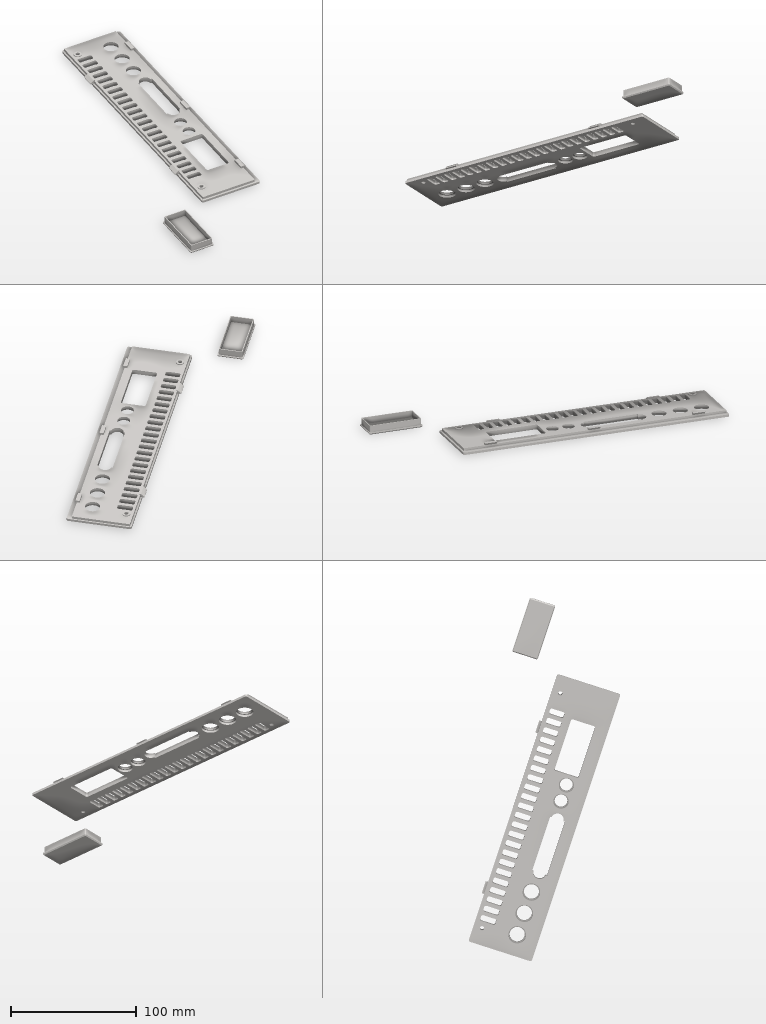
import cadquery as cq

FLANGE_LENGTH = 227.5
FLANGE_WIDTH = 53.0
FLANGE_THICKNESS = 2.0
FLANGE_CORNER_RADIUS = 1.5
FACEPLATE_BOTTOM = 1.5
PLATE_THICKNESS = 2.1
PLATE_LEFT_MARGIN = 1.0
PLATE_RIGHT_MARGIN = 1.7
PLATE_FRONT_MARGIN = 1.5
PLATE_BACK_MARGIN = 4.2

FLANGE_TOP = FACEPLATE_BOTTOM + FLANGE_THICKNESS
PLATE_TOP = FLANGE_TOP + PLATE_THICKNESS
PLATE_LENGTH = FLANGE_LENGTH - PLATE_LEFT_MARGIN - PLATE_RIGHT_MARGIN
PLATE_BACK = FLANGE_WIDTH - PLATE_BACK_MARGIN
PLATE_WIDTH = PLATE_BACK - PLATE_FRONT_MARGIN

LARGE_HOLE_DIAMETER = 12.0
LARGE_HOLE_Y = 35.3
LARGE_HOLE_FIRST_X = 17.0
LARGE_HOLE_PITCH = 18.2
LARGE_HOLE_COUNT = 3
SMALL_HOLE_DIAMETER = 10.0
SMALL_HOLE_Y = 34.7
SMALL_HOLE_XS = (130.7, 144.5)
COUNTERBORE_MARGIN = 0.98

CONNECTOR_CENTER = (93.0, 36.7)
CONNECTOR_LENGTH = 46.2
CONNECTOR_WIDTH = 12.5
CONNECTOR_EAR_DIAMETER = 10.0
CONNECTOR_EAR_SPACING = 45.3

WINDOW_CENTER = (174.5, 32.0)
WINDOW_LENGTH = 44.0
WINDOW_WIDTH = 20.1
WINDOW_CORNER_RADIUS = 1.5

VENT_COUNT = 23
SHORT_VENT_COUNT = 7
VENT_FIRST_X = 21.3
VENT_LAST_X = 197.3
VENT_FRONT = 3.4
VENT_WIDTH = 5.0
VENT_LENGTH = 12.5
SHORT_VENT_LENGTH = 12.0
VENT_CORNER_RADIUS = 1.5
VENT_PITCH = (VENT_LAST_X - VENT_FIRST_X) / (VENT_COUNT - 1)

BOSS_DIAMETER = 6.5
BOSS_HOLE_DIAMETER = 3.4
BOSS_HEIGHT = 0.8
BOSS_Y = 7.0
BOSS_XS = (13.5, 213.5)

CLIP_LENGTH = 10.0
HOOK_XS = (24.5, 114.2, 202.5)
HOOK_DEPTH = 2.2
HOOK_HEIGHT = 1.82
HOOK_OVERHANG = 1.0
LATCH_XS = (45.0, 182.0)
LATCH_RISE = 0.8
LATCH_BACK = 2.2
LATCH_RAMP_START = 0.8
LATCH_REACH = 2.0
LATCH_TIP_HEIGHT = 0.5

CAP_LENGTH = 46.0
CAP_WIDTH = 21.3
CAP_HEIGHT = 7.3
CAP_RIGHT = 279.8
CAP_FRONT = -40.0
CAP_CORNER_RADIUS = 1.0
RIM_THICKNESS = 1.7
RIM_CHAMFER = 0.8
RIM_MARGIN = 0.98
WALL_THICKNESS = 0.7
WALL_CORNER_RADIUS = 0.8
POCKET_CORNER_RADIUS = 0.42
CAP_CENTER = (CAP_RIGHT - CAP_LENGTH / 2, CAP_FRONT + CAP_WIDTH / 2)


def block(center, length, width, bottom, top):
    """A box centred on a plan point, between two heights."""
    return (
        cq.Workplane("XY", origin=(0, 0, bottom))
        .center(*center)
        .rect(length, width)
        .extrude(top - bottom)
    )


def cylinders(points, diameter, bottom, top):
    """Upright cylinders on plan points, between two heights."""
    return (
        cq.Workplane("XY", origin=(0, 0, bottom))
        .pushPoints(points)
        .circle(diameter / 2)
        .extrude(top - bottom)
    )


def through_block(center, length, width):
    """A cutter that passes through the whole faceplate."""
    return block(center, length, width, FACEPLATE_BOTTOM, PLATE_TOP)


def edge_clip(profile, center_x):
    """A clip with the given (y, z) profile, centred on center_x."""
    return (
        cq.Workplane("YZ", origin=(center_x, 0, 0))
        .polyline(profile)
        .close()
        .extrude(CLIP_LENGTH / 2, both=True)
    )


def faceplate_blank():
    flange_center = (FLANGE_LENGTH / 2, FLANGE_WIDTH / 2)
    plate_center = (PLATE_LEFT_MARGIN + PLATE_LENGTH / 2, PLATE_FRONT_MARGIN + PLATE_WIDTH / 2)
    flange = block(flange_center, FLANGE_LENGTH, FLANGE_WIDTH, FACEPLATE_BOTTOM, FLANGE_TOP)
    flange = flange.edges("|Z").fillet(FLANGE_CORNER_RADIUS)
    return flange.union(block(plate_center, PLATE_LENGTH, PLATE_WIDTH, FLANGE_TOP, PLATE_TOP))


def counterbored_holes(points, diameter):
    """Through holes that are wider within the flange than within the raised plate."""
    counterbore_diameter = diameter + 2 * COUNTERBORE_MARGIN
    holes = cylinders(points, diameter, FACEPLATE_BOTTOM, PLATE_TOP)
    return holes.union(cylinders(points, counterbore_diameter, FACEPLATE_BOTTOM, FLANGE_TOP))


def large_holes():
    points = [
        (LARGE_HOLE_FIRST_X + i * LARGE_HOLE_PITCH, LARGE_HOLE_Y) for i in range(LARGE_HOLE_COUNT)
    ]
    return counterbored_holes(points, LARGE_HOLE_DIAMETER)


def small_holes():
    return counterbored_holes([(x, SMALL_HOLE_Y) for x in SMALL_HOLE_XS], SMALL_HOLE_DIAMETER)


def connector_opening():
    x, y = CONNECTOR_CENTER
    ear_points = [(x + side * CONNECTOR_EAR_SPACING / 2, y) for side in (-1, 1)]
    ears = cylinders(ear_points, CONNECTOR_EAR_DIAMETER, FACEPLATE_BOTTOM, PLATE_TOP)
    return through_block(CONNECTOR_CENTER, CONNECTOR_LENGTH, CONNECTOR_WIDTH).union(ears)


def window_opening():
    window = through_block(WINDOW_CENTER, WINDOW_LENGTH, WINDOW_WIDTH)
    return window.edges("|Z").fillet(WINDOW_CORNER_RADIUS)


def vent_opening(index):
    is_short = index >= VENT_COUNT - SHORT_VENT_COUNT
    length = SHORT_VENT_LENGTH if is_short else VENT_LENGTH
    center = (VENT_FIRST_X + index * VENT_PITCH, VENT_FRONT + length / 2)
    return through_block(center, VENT_WIDTH, length).edges("|Z").fillet(VENT_CORNER_RADIUS)


def back_hook(center_x):
    profile = [
        (PLATE_BACK - HOOK_DEPTH, PLATE_TOP),
        (PLATE_BACK, PLATE_TOP),
        (PLATE_BACK + HOOK_OVERHANG, PLATE_TOP + HOOK_HEIGHT),
        (PLATE_BACK - HOOK_DEPTH, PLATE_TOP + HOOK_HEIGHT),
    ]
    return edge_clip(profile, center_x)


def front_latch(center_x):
    profile = [
        (LATCH_BACK, FLANGE_TOP),
        (LATCH_BACK, PLATE_TOP + LATCH_RISE),
        (LATCH_RAMP_START, PLATE_TOP + LATCH_RISE),
        (-LATCH_REACH, FLANGE_TOP + LATCH_TIP_HEIGHT),
        (-LATCH_REACH, FLANGE_TOP),
    ]
    return edge_clip(profile, center_x)


def make_faceplate():
    plate = faceplate_blank()
    for opening in (large_holes(), small_holes(), connector_opening(), window_opening()):
        plate = plate.cut(opening)
    for index in range(VENT_COUNT):
        plate = plate.cut(vent_opening(index))

    boss_points = [(x, BOSS_Y) for x in BOSS_XS]
    boss_top = PLATE_TOP + BOSS_HEIGHT
    plate = plate.union(cylinders(boss_points, BOSS_DIAMETER, PLATE_TOP, boss_top))
    plate = plate.cut(cylinders(boss_points, BOSS_HOLE_DIAMETER, FACEPLATE_BOTTOM, boss_top))

    for x in HOOK_XS:
        plate = plate.union(back_hook(x))
    for x in LATCH_XS:
        plate = plate.union(front_latch(x))
    return plate


def make_cap():
    rim = block(CAP_CENTER, CAP_LENGTH, CAP_WIDTH, 0, RIM_THICKNESS)
    rim = rim.edges("|Z").fillet(CAP_CORNER_RADIUS).faces("<Z").edges().chamfer(RIM_CHAMFER)

    wall_length = CAP_LENGTH - 2 * RIM_MARGIN
    wall_width = CAP_WIDTH - 2 * RIM_MARGIN
    walls = block(CAP_CENTER, wall_length, wall_width, RIM_THICKNESS, CAP_HEIGHT)
    walls = walls.edges("|Z").fillet(WALL_CORNER_RADIUS)

    pocket_length = wall_length - 2 * WALL_THICKNESS
    pocket_width = wall_width - 2 * WALL_THICKNESS
    pocket = block(CAP_CENTER, pocket_length, pocket_width, RIM_THICKNESS, CAP_HEIGHT)
    pocket = pocket.edges("|Z").fillet(POCKET_CORNER_RADIUS)
    return rim.union(walls).cut(pocket)


faceplate = make_faceplate()
cap = make_cap()
result = cq.Compound.makeCompound([faceplate.val(), cap.val()])